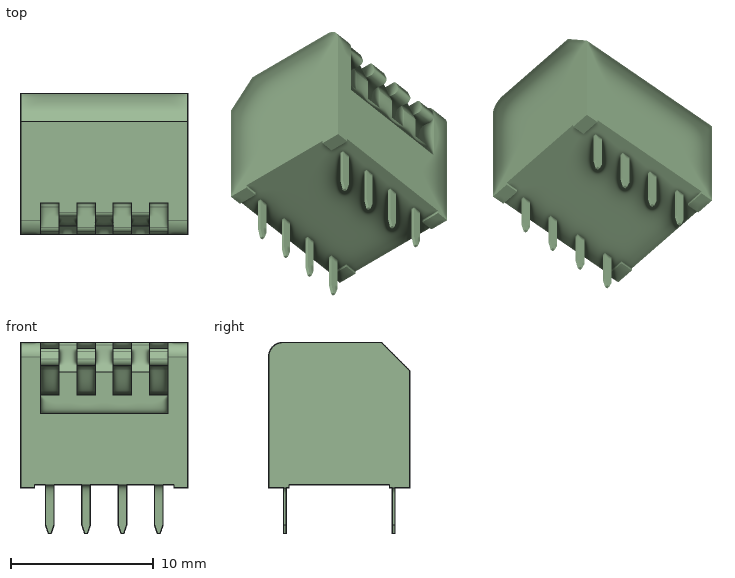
import cadquery as cq
import math


length = 11.72
width = 9.92
total_height = 13.4
pin_reach = 3.2
height = total_height - pin_reach
front_y = -width / 2
back_chamfer = 2.0
front_radius = 1.0

foot_length = 0.98
foot_width = 1.45
foot_height = 0.21

switch_count = 4
pitch = 2.55
switch_xs = [(i - (switch_count - 1) / 2) * pitch for i in range(switch_count)]

slot_length = 1.3
window_length = (switch_count - 1) * pitch + slot_length
window_depth = 0.62
window_drop = 5.0
lean = math.tan(math.radians(20))
lean_drop = 2.08
wall_radius = 0.25

slot_depth = 2.22
slot_drop = 3.68

lever_drop = 0.44
lever_front_depth = 0.3
lever_radius = 0.28
nose_drop = 1.68
nose_radius = 0.34
neck_depth = 1.25
neck_drop = 1.49
neck_radius = 0.43
stem_lean = math.tan(math.radians(13.5))
stem_radius = 0.31
embed = 0.01

row_spacing = 7.62
pin_length = 0.62
pin_thickness = 0.21
tip_length = 0.2
tip_height = 0.6


def extrude_profile(points, span, center_x):
    """Extrude a (depth, drop) outline along X, centred on center_x."""
    outline = [(front_y + back, height - drop) for back, drop in points]
    start = cq.Workplane("YZ", origin=(center_x - span / 2, 0, 0))
    return start.polyline(outline).close().extrude(span)


def round_corner(solid, corner, radius, center_x):
    """Round the edge along X at one (depth, drop) corner of an extruded outline."""
    point = (center_x, front_y + corner[0], height - corner[1])
    return solid.edges("|X").edges(cq.NearestToPointSelector(point)).fillet(radius)


def make_housing():
    """Block with a chamfered back, a rounded front and a cross-shaped relief between the feet."""
    on_base = (True, True, False)
    block = cq.Workplane("XY").box(length, width, height, centered=on_base)
    block = block.edges(">Y and >Z").chamfer(back_chamfer)
    block = block.edges("<Y and >Z").fillet(front_radius)
    relief_x = cq.Workplane("XY").box(length, width - 2 * foot_width, foot_height, centered=on_base)
    relief_y = cq.Workplane("XY").box(length - 2 * foot_length, width, foot_height, centered=on_base)
    return block.cut(relief_x).cut(relief_y)


def make_window():
    """Space in front of the leaning wall, with the rounding of the wall's top edge."""
    wall_top_depth = window_depth + lean * lean_drop
    outline = [
        (0, 0),
        (0, window_drop),
        (window_depth, window_drop),
        (window_depth, lean_drop),
        (wall_top_depth, 0),
    ]
    window = extrude_profile(outline, window_length, 0)
    wall_outline = [
        (window_depth, lean_drop),
        (wall_top_depth, 0),
        (slot_depth, 0),
        (slot_depth, lean_drop),
    ]
    wall = extrude_profile(wall_outline, window_length, 0)
    rounded_wall = round_corner(wall, (wall_top_depth, 0), wall_radius, 0)
    return window.union(wall.cut(rounded_wall))


def make_slot(center_x):
    outline = [(0, 0), (0, slot_drop), (slot_depth, slot_drop), (slot_depth, 0)]
    return extrude_profile(outline, slot_length, center_x)


def make_lever(center_x):
    back_depth = slot_depth + embed
    foot_drop = slot_drop + embed
    top_back = (back_depth, lever_drop)
    top_front = (lever_front_depth, lever_drop)
    nose = (lever_front_depth - lean * (nose_drop - lever_drop), nose_drop)
    neck = (neck_depth, neck_drop)
    stem_foot = (neck_depth + stem_lean * (foot_drop - neck_drop), foot_drop)
    outline = [top_back, top_front, nose, neck, stem_foot, (back_depth, foot_drop)]
    lever = extrude_profile(outline, slot_length, center_x)
    for corner, radius in [
        (top_back, lever_radius),
        (top_front, lever_radius),
        (nose, nose_radius),
        (neck, neck_radius),
        (stem_foot, stem_radius),
    ]:
        lever = round_corner(lever, corner, radius, center_x)
    return lever


def make_pin(center_x, center_y):
    """Flat pin with a tapered tip, hanging from the underside of the housing."""
    tip_z = -pin_reach
    half, half_tip = pin_length / 2, tip_length / 2
    outline = [
        (-half, foot_height),
        (-half, tip_z + tip_height),
        (-half_tip, tip_z),
        (half_tip, tip_z),
        (half, tip_z + tip_height),
        (half, foot_height),
    ]
    pin = cq.Workplane("XZ").polyline(outline).close().extrude(pin_thickness / 2, both=True)
    return pin.translate((center_x, center_y, 0))


result = make_housing().cut(make_window())
for x in switch_xs:
    result = result.cut(make_slot(x)).union(make_lever(x))
    for y in (-row_spacing / 2, row_spacing / 2):
        result = result.union(make_pin(x, y))